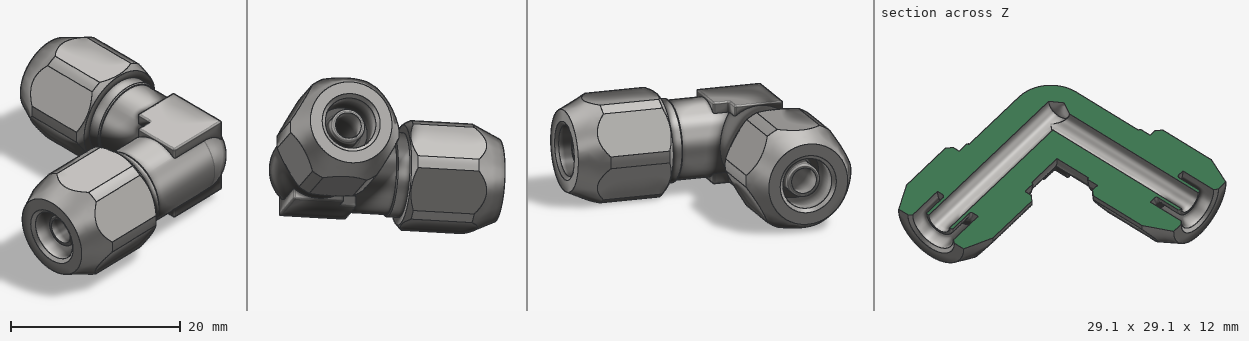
import cadquery as cq
import math

arm_length = 22.5

body_radius = 4.75
collar_radius = 5.0
collar_start = 9.45
collar_chamfer = 0.15

pad_height = 10.0
pad_outer = 3.0
pad_inner = 5.0
pad_notch = 3.0
pad_edge_radius = 0.2

hexagon_sides = 6
nut_across_flats = 12.0
nut_corner_radius = 6.55
nut_length = 11.5
nut_start = arm_length - nut_length
nut_rear_chamfer = 0.65
nut_cone_angle = 25.0
nut_face_radius = 4.92

mouth_radius = 3.5
opening_radius = 3.05
mouth_chamfer_depth = 0.35
opening_depth = 5.0

stem_radius = 2.0
stem_tip_rounding = 0.25
stem_root_rounding = 0.3
stem_recess = 1.5
stem_tip = arm_length - stem_recess

bore_radius = 1.55
drill_point_angle = 118.0
drill_point_length = bore_radius / math.tan(math.radians(drill_point_angle / 2))


def turned(profile):
    """Revolve (distance along arm, radius) points about the -X arm axis."""
    points = [(-distance, radius) for distance, radius in profile]
    return cq.Workplane("XY").polyline(points).close().revolve(360, (0, 0, 0), (1, 0, 0))


def on_both_arms(shape):
    """Join a -X arm shape with its copy turned onto the -Y arm."""
    return shape.union(shape.rotate((0, 0, 0), (0, 0, 1), 90))


def make_nut():
    cone_length = (nut_corner_radius - nut_face_radius) / math.tan(math.radians(nut_cone_angle))
    envelope = turned([
        (nut_start, 0),
        (nut_start, nut_corner_radius - nut_rear_chamfer),
        (nut_start + nut_rear_chamfer, nut_corner_radius),
        (arm_length - cone_length, nut_corner_radius),
        (arm_length, nut_face_radius),
        (arm_length, 0),
    ])
    across_corners = nut_across_flats / math.cos(math.pi / hexagon_sides)
    hexagon = cq.Workplane("YZ").polygon(hexagon_sides, across_corners).extrude(-arm_length)
    return envelope.intersect(hexagon)


def make_arm_pipe():
    return turned([
        (0, 0),
        (0, body_radius),
        (collar_start, body_radius),
        (collar_start, collar_radius - collar_chamfer),
        (collar_start + collar_chamfer, collar_radius),
        (nut_start, collar_radius),
        (nut_start, 0),
    ])


def make_opening():
    """Annular space between the nut opening and the stem."""
    floor = arm_length - opening_depth
    cavity = turned([
        (floor, 0),
        (floor, opening_radius),
        (arm_length - mouth_chamfer_depth, opening_radius),
        (arm_length, mouth_radius),
        (arm_length, 0),
    ])
    stem = cq.Workplane("YZ").circle(stem_radius).extrude(-stem_tip)
    stem = stem.faces("<X").edges().fillet(stem_tip_rounding)
    root_edge = cq.selectors.RadiusNthSelector(0)
    annulus = cavity.cut(stem)
    return annulus.faces(">X").edges(root_edge).fillet(stem_root_rounding)


def make_bore():
    return cq.Workplane("YZ").circle(bore_radius).extrude(-stem_tip)


def make_bore_end():
    """Drill point of the -X bore, just past the far wall of the -Y bore."""
    return turned([
        (0, 0),
        (0, bore_radius),
        (-bore_radius, bore_radius),
        (-bore_radius - drill_point_length, 0),
    ])


def make_wrench_pad():
    outline = [
        (pad_outer, pad_outer),
        (-pad_inner, pad_outer),
        (-pad_inner, -pad_notch),
        (-pad_notch, -pad_notch),
        (-pad_notch, -pad_inner),
        (pad_outer, -pad_inner),
    ]
    pad = cq.Workplane("XY").polyline(outline).close().extrude(pad_height / 2, both=True)
    return pad.edges().fillet(pad_edge_radius)


corner = cq.Workplane("XY").sphere(body_radius)
body = on_both_arms(make_arm_pipe()).union(corner).union(make_wrench_pad())
fitting = body.union(on_both_arms(make_nut()))
passages = on_both_arms(make_opening().union(make_bore())).union(make_bore_end())

result = fitting.cut(passages)